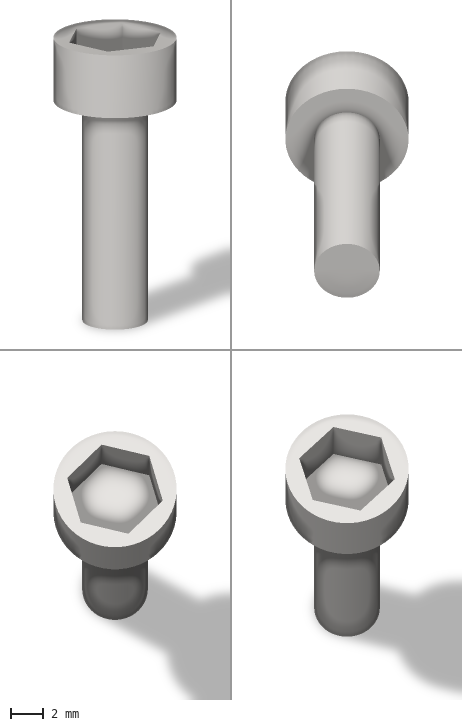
import cadquery as cq

total_length = 18
head_diameter = 7.5
head_height = 4.0
shank_diameter = 4.0
socket_corner_diameter = 6.0
socket_depth = 3.5

shank_length = total_length - head_height

shank = cq.Workplane("XY").circle(shank_diameter / 2).extrude(shank_length)

head = (
    cq.Workplane("XY")
    .workplane(offset=shank_length)
    .circle(head_diameter / 2)
    .extrude(head_height)
)

socket = (
    cq.Workplane("XY")
    .workplane(offset=total_length - socket_depth)
    .transformed(rotate=(0, 0, 90))
    .polygon(6, socket_corner_diameter)
    .extrude(socket_depth)
)

result = shank.union(head).cut(socket)